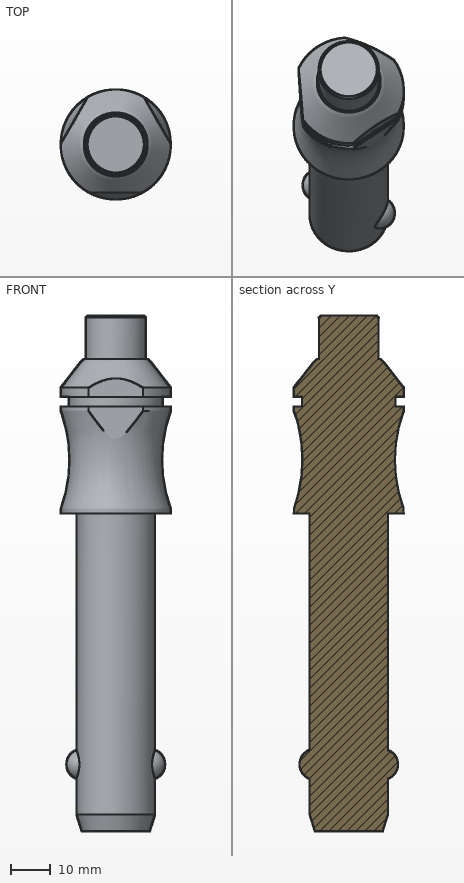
import cadquery as cq

total_height = 130.5
shank_radius = 20.0 / 2
tip_radius = 8.6
tip_height = 4.3

sleeve_bottom = 80.4
sleeve_radius = 14.0
rim_height = 1.2
waist_radius = 11.8
waist_height = 94.0
lower_arc_end = sleeve_bottom + rim_height
upper_arc_end = 2 * waist_height - lower_arc_end

groove_bottom = upper_arc_end + rim_height
groove_width = 2.4
groove_radius = 23.9 / 2
groove_top = groove_bottom + groove_width
collar_height = 2.4
collar_top = groove_top + collar_height

shoulder_top = 119.6
bevel_height = 0.9
bevel_outer_radius = 9.0
bevel_inner_radius = 8.1

button_radius = 15.3 / 2
button_chamfer = 0.5

flat_count = 3
flat_distance = 12.1
flat_angle = -90.0

ball_radius = 3.9
ball_reach = 12.5
ball_height = 17.0
ball_offset = ball_reach - ball_radius


def make_shank():
    """Solid round shank, tapered at its lower end."""
    return (
        cq.Workplane("XZ")
        .lineTo(tip_radius, 0)
        .lineTo(shank_radius, tip_height)
        .lineTo(shank_radius, sleeve_bottom)
        .lineTo(0, sleeve_bottom)
        .close()
        .revolve(360, (0, 0, 0), (0, 1, 0))
    )


def make_sleeve():
    """Turned sleeve: waisted grip, groove, collar and conical shoulder."""
    return (
        cq.Workplane("XZ")
        .moveTo(0, sleeve_bottom)
        .lineTo(sleeve_radius, sleeve_bottom)
        .lineTo(sleeve_radius, lower_arc_end)
        .threePointArc((waist_radius, waist_height), (sleeve_radius, upper_arc_end))
        .lineTo(sleeve_radius, groove_bottom)
        .lineTo(groove_radius, groove_bottom)
        .lineTo(groove_radius, groove_top)
        .lineTo(sleeve_radius, groove_top)
        .lineTo(sleeve_radius, collar_top)
        .lineTo(bevel_outer_radius, shoulder_top - bevel_height)
        .lineTo(bevel_inner_radius, shoulder_top)
        .lineTo(0, shoulder_top)
        .close()
        .revolve(360, (0, 0, 0), (0, 1, 0))
    )


def cut_flats(sleeve):
    """Cut the evenly spaced flats from the waist upwards."""
    cutter_height = shoulder_top - waist_height
    for index in range(flat_count):
        cutter = (
            cq.Workplane("XY")
            .workplane(offset=waist_height)
            .center(flat_distance + sleeve_radius / 2, 0)
            .rect(sleeve_radius, 2 * sleeve_radius)
            .extrude(cutter_height)
            .rotate((0, 0, 0), (0, 0, 1), flat_angle + index * 360 / flat_count)
        )
        sleeve = sleeve.cut(cutter)
    return sleeve


def make_button():
    """Round push button with a chamfered top edge."""
    return (
        cq.Workplane("XY")
        .workplane(offset=shoulder_top)
        .circle(button_radius)
        .extrude(total_height - shoulder_top)
        .faces(">Z")
        .chamfer(button_chamfer)
    )


def make_balls():
    """Pair of locking balls standing out of the shank along X."""
    return (
        cq.Workplane("XY")
        .workplane(offset=ball_height)
        .pushPoints([(-ball_offset, 0), (ball_offset, 0)])
        .sphere(ball_radius)
    )


sleeve = cut_flats(make_sleeve())
result = make_shank().union(sleeve).union(make_button()).union(make_balls())